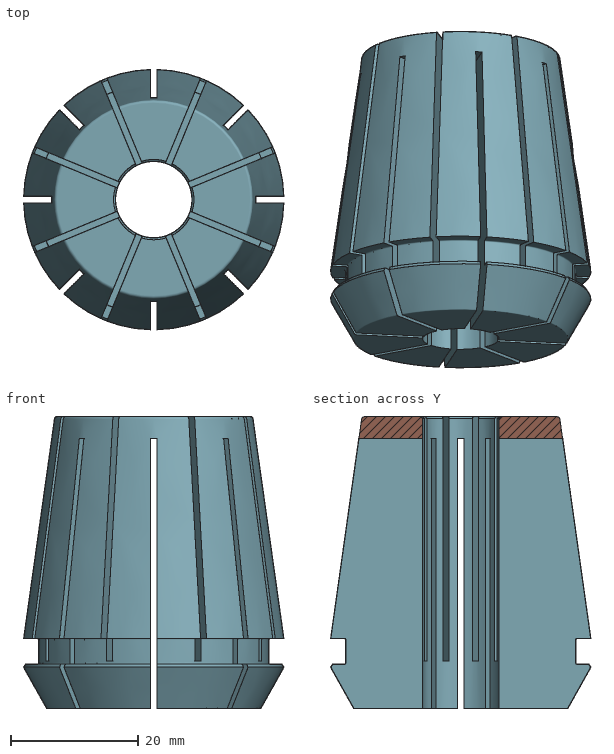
import cadquery as cq
import math

length = 46.0
outer_radius = 20.495
cone_half_angle = 8.0
bore_radius = 6.005

nose_bottom_radius = 16.85
nose_rim_height = 6.55
nose_top_height = 7.05
nose_rim_chamfer = 0.3

neck_radius = 18.12
groove_top_height = 11.05
neck_fillet = 0.2

top_rim_fillet = 0.45
bottom_rim_fillet = 0.2
bore_chamfer = 0.3

slots_per_end = 8
slot_width = 1.0
lower_slot_end = 42.5
upper_slot_start = 7.5

slot_pitch = 360.0 / slots_per_end
cone_height = length - groove_top_height
cone_top_radius = outer_radius - cone_height * math.tan(math.radians(cone_half_angle))


def make_body():
    """Revolve the collet's half section about the Z axis."""
    neck_bottom = (neck_radius, nose_top_height)
    neck_top = (neck_radius, groove_top_height)
    cone_top = (cone_top_radius, length)
    nose_bottom = (nose_bottom_radius, 0)
    outline = [
        (bore_radius, 0),
        nose_bottom,
        (outer_radius, nose_rim_height),
        (outer_radius - nose_rim_chamfer, nose_top_height),
        neck_bottom,
        neck_top,
        (outer_radius, groove_top_height),
        cone_top,
        (bore_radius + bore_chamfer, length),
        (bore_radius, length - bore_chamfer),
    ]
    section = cq.Sketch().polygon(outline + outline[:1])
    for (radius, height), fillet in (
        (nose_bottom, bottom_rim_fillet),
        (neck_bottom, neck_fillet),
        (neck_top, neck_fillet),
        (cone_top, top_rim_fillet),
    ):
        corner = cq.NearestToPointSelector((radius, height, 0))
        section = section.reset().vertices(corner).fillet(fillet)
    return cq.Workplane("XZ").placeSketch(section).revolve(360, (0, 0, 0), (0, 1, 0))


def cut_slots(body, bottom, top, first_angle):
    """Cut a ring of radial slots between two heights, from the bore outwards."""
    blade = cq.Workplane("XY").workplane(offset=bottom).rect(length, slot_width, centered=(False, True))
    blade = blade.extrude(top - bottom)
    for index in range(slots_per_end):
        angle = first_angle + index * slot_pitch
        body = body.cut(blade.rotate((0, 0, 0), (0, 0, 1), angle))
    return body


result = make_body()
result = cut_slots(result, 0, lower_slot_end, 0)
result = cut_slots(result, upper_slot_start, length, slot_pitch / 2)